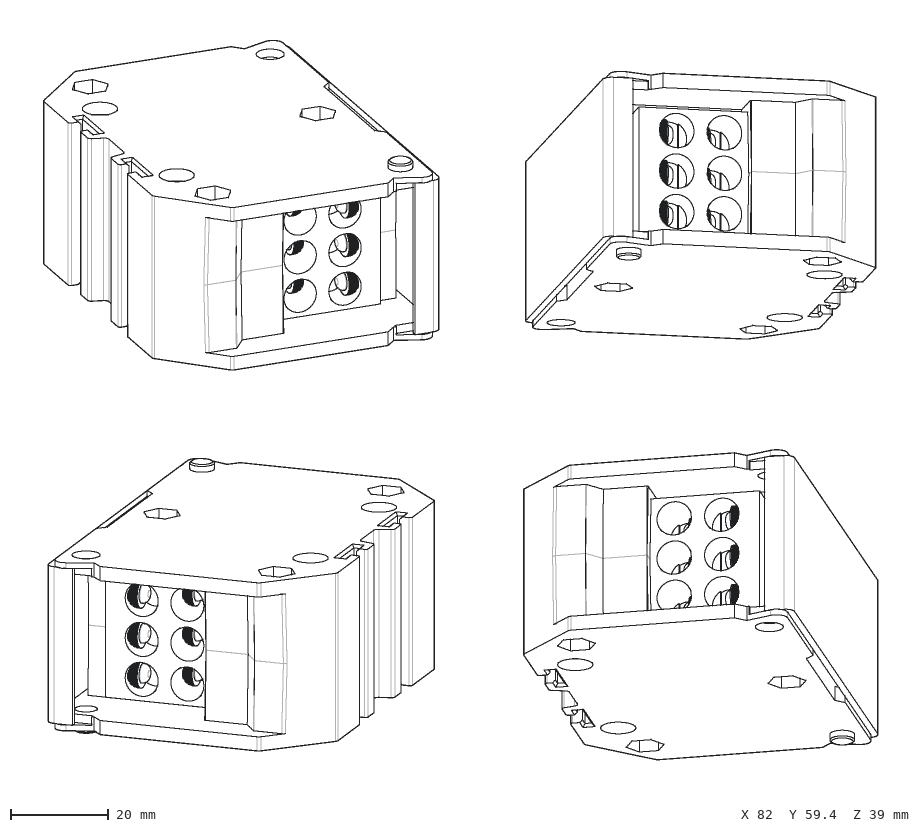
import cadquery as cq
import math

WIDTH = 82.0
HALF_WIDTH = WIDTH / 2
HALF_HEIGHT = 17.95
COVER_TOP = 59.4
SIDE_WALL = 3.0
WALL_INNER_Z = HALF_HEIGHT - SIDE_WALL
CORNER_CUT = 12.5
CORNER_ROUND = 1.0

EAR_RADIUS = 2.3
EAR_CENTER_X = HALF_WIDTH - EAR_RADIUS
EAR_CENTER_Y = 55.6
EAR_TOP = EAR_CENTER_Y + EAR_RADIUS
EAR_TANGENT_ANGLE = math.radians(20)
NOTCH_X = 38.9
NOTCH_Y = 49.4
SHOULDER_Y = 47.2
WINDOW_FLOOR = 56.1
WINDOW_HALF_FLOOR = 13.2
WINDOW_HALF_MOUTH = 14.9

COVER_WALL = 1.5
COVER_HALF_WIDTH = 40.5
COVER_HALF_HEIGHT = 16.7
COVER_SKIRT_Y = 53.5
COVER_INNER_X = COVER_HALF_WIDTH - COVER_WALL
COVER_OUTER_ROUND = 1.8
COVER_INNER_ROUND = 0.7
COVER_SKIRT_ROUND = 0.4
RELIEF_Y = 49.85
RELIEF_X = COVER_INNER_X - COVER_INNER_ROUND

LIP_Y = 0.3
CHANNEL_TOP = 4.1
CHANNEL_HALF_TOP = 4.6
CHANNEL_HALF_MOUTH = 5.6
CHANNEL_TOP_ROUND = 1.1
CHANNEL_LIP_ROUND = 0.8
SLOT_LIP_ROUND = 0.6
SLOT_X = 12.7
SLOT_WIDTH = 9.35
SLOT_FLOOR = 2.6
SLOT_TOP = 4.0
SLOT_FLARE_X = 0.7
SLOT_FLARE_Y = 0.6
SLOT_FLARE_DEPTH = 0.6
MOUTH_OUTER_X = 15.0
MOUTH_INNER_X = 10.2

DRAFT = 1.0
CORE_X = 24.2
STEP_X = 33.05
STEP_TOP = 27.1
STEP_BOTTOM = 17.8
SILL_X = 36.8
SILL_TOP = 15.0
SILL_ROUND = 1.0
BLOCK_X = 30.3
BLOCK_TOP = 50.1
BLOCK_BOTTOM = 26.65
BLOCK_HALF_HEIGHT = 13.1

WIRE_HOLE_RADIUS = 3.6
UPPER_HOLES_Y = 42.15
LOWER_HOLES_Y = 32.15
UPPER_SCREW_DEPTH = 4.4
LOWER_SCREW_DEPTH = 9.8
WIRE_HOLE_PITCH_Z = 8.5
HOLE_BEYOND_SCREW = 3.8
SHELF_LENGTH = 0.8
SHELF_OFFSET = 1.9
SCREW_RADIUS = 3.1
THREAD_DEPTH = 0.25
THREAD_PITCH = 0.5
SCREW_SHOULDER = 1.5
SCREW_TIP_RADIUS = 2.05
SCREW_TIP_LENGTH = 1.5
SCREW_TIP_ROUND = 1.3

BOLT_CENTERS = ((0, 49.0), (-32.0, 12.0), (32.0, 12.0))
NUT_FLATS = 6.9
NUT_DEPTH = 8.2
BOLT_RADIUS_OUTER = 2.6
BOLT_RADIUS_INNER = 2.1

EAR_PIN_X = 33.95
EAR_PIN_Y = 53.0
PIN_RADIUS = 2.55
PIN_HEIGHT = 1.55
PIN_CHAMFER = 0.3
PIN_BORE_RADIUS = 2.3
EAR_RECESS_RADIUS = 2.9
BASE_RECESS_X = 20.0
BASE_RECESS_Y = 9.0
BASE_RECESS_RADIUS = 3.6
EAR_RECESS_DEPTH = 1.6
BASE_RECESS_DEPTH = 2.55
PIN_BORE_DEPTH = 1.6
RECESS_FLOOR_INSET = 0.3

MARGIN = 8.2
EDGE_REACH = 0.1
DRAFTED_EDGE_REACH = 0.5


def box(x0, x1, y0, y1, z0, z1):
    return cq.Workplane("XY").box(x1 - x0, y1 - y0, z1 - z0, centered=False).translate((x0, y0, z0))


def taper_hole(x, y, z_top, top_radius, z_bottom, bottom_radius):
    depth = z_top - z_bottom
    cone = cq.Solid.makeCone(top_radius, bottom_radius, depth, cq.Vector(x, y, z_top), cq.Vector(0, 0, -1))
    return cq.Workplane(cone)


def round_upright_edges(body, x, y, reach, radius):
    """Fillet the upright edges within reach of (x, y) and of its mirror image at -x."""
    for side in (-1, 1):
        near = cq.selectors.BoxSelector(
            (side * x - reach, y - reach, 0), (side * x + reach, y + reach, HALF_HEIGHT)
        )
        body = body.edges(near).edges("not #Z").fillet(radius)
    return body


def shell_blank():
    """Solid prism of the housing outline, from the mid plane to the outer face."""
    tangent_x = EAR_CENTER_X + EAR_RADIUS * math.cos(EAR_TANGENT_ANGLE)
    tangent_y = EAR_CENTER_Y - EAR_RADIUS * math.sin(EAR_TANGENT_ANGLE)
    diagonal = EAR_RADIUS * math.sqrt(0.5)
    right_side = (
        cq.Workplane("XY")
        .lineTo(HALF_WIDTH - CORNER_CUT, 0)
        .lineTo(HALF_WIDTH, CORNER_CUT)
        .lineTo(HALF_WIDTH, SHOULDER_Y)
        .lineTo(NOTCH_X, NOTCH_Y)
        .lineTo(tangent_x, tangent_y)
        .threePointArc((EAR_CENTER_X + diagonal, EAR_CENTER_Y + diagonal), (EAR_CENTER_X, EAR_TOP))
        .lineTo(WINDOW_HALF_MOUTH, EAR_TOP)
        .lineTo(WINDOW_HALF_FLOOR, WINDOW_FLOOR)
        .lineTo(0, WINDOW_FLOOR)
        .close()
        .extrude(HALF_HEIGHT)
    )
    blank = right_side.union(right_side.mirror("YZ")).clean()
    blank = round_upright_edges(blank, HALF_WIDTH - CORNER_CUT, 0, EDGE_REACH, CORNER_ROUND)
    return round_upright_edges(blank, HALF_WIDTH, CORNER_CUT, EDGE_REACH, CORNER_ROUND)


def rail_channel():
    channel = (
        cq.Workplane("XY")
        .moveTo(-CHANNEL_HALF_MOUTH, LIP_Y)
        .lineTo(-CHANNEL_HALF_TOP, CHANNEL_TOP)
        .lineTo(CHANNEL_HALF_TOP, CHANNEL_TOP)
        .lineTo(CHANNEL_HALF_MOUTH, LIP_Y)
        .close()
        .extrude(HALF_HEIGHT)
        .edges("|Z and >Y")
        .fillet(CHANNEL_TOP_ROUND)
    )
    return channel.union(box(-MOUTH_INNER_X, MOUTH_INNER_X, -MARGIN, LIP_Y, 0, HALF_HEIGHT))


def t_slot(side):
    mouth_ends = sorted((side * MOUTH_OUTER_X, side * MOUTH_INNER_X))
    mouth = box(*mouth_ends, -MARGIN, SLOT_TOP, 0, HALF_HEIGHT)
    height = SLOT_TOP - SLOT_FLOOR
    center = (side * SLOT_X, (SLOT_TOP + SLOT_FLOOR) / 2)
    head = cq.Workplane("XY").center(*center).rect(SLOT_WIDTH, height).extrude(HALF_HEIGHT)
    flare = (
        cq.Workplane("XY", origin=(0, 0, HALF_HEIGHT - SLOT_FLARE_DEPTH))
        .center(*center)
        .rect(SLOT_WIDTH, height)
        .workplane(offset=SLOT_FLARE_DEPTH)
        .rect(SLOT_WIDTH + 2 * SLOT_FLARE_X, height + 2 * SLOT_FLARE_Y)
        .loft()
    )
    return mouth.union(head).union(flare)


def round_lips(half):
    """Round the corners of the slots and the channel where they open onto the base."""
    corners = (
        (MOUTH_OUTER_X, 0, SLOT_LIP_ROUND),
        (MOUTH_INNER_X, LIP_Y, SLOT_LIP_ROUND),
        (CHANNEL_HALF_MOUTH, LIP_Y, CHANNEL_LIP_ROUND),
    )
    for x, y, radius in corners:
        half = round_upright_edges(half, x, y, EDGE_REACH, radius)
    return half


def wiring_recess():
    """Open space at the -X end; its walls draft outward from the mid plane to the side wall."""
    outside = HALF_WIDTH + MARGIN
    return (
        cq.Workplane("XY")
        .polyline([
            (-outside, COVER_TOP),
            (-CORE_X, COVER_TOP),
            (-CORE_X, STEP_TOP),
            (-STEP_X, STEP_TOP),
            (-STEP_X, STEP_BOTTOM),
            (-SILL_X, SILL_TOP),
            (-SILL_X, 0),
            (-outside, 0),
        ])
        .close()
        .extrude(WALL_INNER_Z, taper=DRAFT)
    )


def clamping_screw(x, y, z):
    """Screw along Y with its shoulder at y, ring grooves for the thread and a rounded tip below."""
    def disc(start_y, radius, length):
        return cq.Workplane("XZ", origin=(x, start_y, z)).circle(radius).extrude(-length)

    screw = disc(y, SCREW_RADIUS - THREAD_DEPTH, WIRE_HOLE_RADIUS)
    for turn in range(math.ceil(WIRE_HOLE_RADIUS / THREAD_PITCH)):
        screw = screw.union(disc(y + turn * THREAD_PITCH, SCREW_RADIUS, THREAD_PITCH / 2))
    tip = disc(y - SCREW_TIP_LENGTH, SCREW_TIP_RADIUS, SCREW_TIP_LENGTH)
    return screw.union(tip.faces("<Y").edges().fillet(SCREW_TIP_ROUND))


def wire_hole(y, z, screw_depth):
    """Blind hole along X with a shelf on its -Y side, less the screw left standing in it."""
    depth = screw_depth + HOLE_BEYOND_SCREW
    bore = cq.Workplane("YZ", origin=(-BLOCK_X, y, z)).circle(WIRE_HOLE_RADIUS).extrude(depth)
    hole_end = depth - BLOCK_X
    shelf = box(
        hole_end - SHELF_LENGTH, hole_end,
        y - WIRE_HOLE_RADIUS, y - SHELF_OFFSET,
        z - WIRE_HOLE_RADIUS, z + WIRE_HOLE_RADIUS,
    )
    return bore.cut(shelf).cut(clamping_screw(screw_depth - BLOCK_X, y + SCREW_SHOULDER, z))


def bolt_hole(x, y):
    """Upper half of a bolt hole: a hexagonal nut pocket above a bore that narrows to the mid plane."""
    nut_floor = HALF_HEIGHT - NUT_DEPTH
    nut = (
        cq.Workplane("XY", origin=(x, y, nut_floor))
        .polygon(6, NUT_FLATS, circumscribed=True)
        .extrude(NUT_DEPTH)
    )
    return nut.union(taper_hole(x, y, nut_floor, BOLT_RADIUS_OUTER, 0, BOLT_RADIUS_INNER))


def half_turn(shape):
    return shape.rotate((0, 0, 0), (0, 1, 0), 180)


def cut_wiring_recesses(half):
    """Open both ends, then round the edge where each recess breaks out through the sloping corner."""
    recess = wiring_recess()
    half = half.cut(recess).cut(recess.mirror("YZ"))
    sill_y = CORNER_CUT - (HALF_WIDTH - SILL_X)
    return round_upright_edges(half, SILL_X, sill_y, DRAFTED_EDGE_REACH, SILL_ROUND)


def cut_cover_space(half):
    """Clear the space under the cover and thin the ears where the cover slides over them."""
    half = half.cut(box(-HALF_WIDTH, HALF_WIDTH, WINDOW_FLOOR, COVER_TOP, 0, WALL_INNER_Z))
    for x0, x1 in ((-HALF_WIDTH, -RELIEF_X), (RELIEF_X, HALF_WIDTH)):
        half = half.cut(box(x0, x1, RELIEF_Y, COVER_TOP, 0, COVER_HALF_HEIGHT))
    return half


def cut_stacking_recesses(half):
    recesses = (
        (-EAR_PIN_X, EAR_PIN_Y, EAR_RECESS_RADIUS, EAR_RECESS_DEPTH),
        (-BASE_RECESS_X, BASE_RECESS_Y, BASE_RECESS_RADIUS, BASE_RECESS_DEPTH),
        (BASE_RECESS_X, BASE_RECESS_Y, BASE_RECESS_RADIUS, BASE_RECESS_DEPTH),
    )
    for x, y, radius, depth in recesses:
        floor_z = HALF_HEIGHT - depth
        half = half.cut(taper_hole(x, y, HALF_HEIGHT, radius, floor_z, radius - RECESS_FLOOR_INSET))
    return half


def add_stacking_pin(half):
    """Pin on one ear, with a blind bore behind it in the inner face."""
    pin = (
        cq.Workplane("XY", origin=(EAR_PIN_X, EAR_PIN_Y, HALF_HEIGHT))
        .circle(PIN_RADIUS)
        .extrude(PIN_HEIGHT)
        .faces(">Z")
        .chamfer(PIN_CHAMFER)
    )
    bore = (
        cq.Workplane("XY", origin=(EAR_PIN_X, EAR_PIN_Y, WALL_INNER_Z))
        .circle(PIN_BORE_RADIUS)
        .extrude(PIN_BORE_DEPTH)
    )
    return half.union(pin).cut(bore)


def housing_half():
    """Upper half of the housing, from the mid plane up."""
    half = shell_blank().cut(rail_channel())
    for side in (-1, 1):
        half = half.cut(t_slot(side))
    half = round_lips(half)
    half = cut_wiring_recesses(half)
    half = cut_cover_space(half)
    for x, y in BOLT_CENTERS:
        half = half.cut(bolt_hole(x, y))
    half = cut_stacking_recesses(half)
    return add_stacking_pin(half)


def make_cover():
    outer = box(
        -COVER_HALF_WIDTH, COVER_HALF_WIDTH, COVER_SKIRT_Y, COVER_TOP, -COVER_HALF_HEIGHT, COVER_HALF_HEIGHT
    ).edges("|Z and >Y").fillet(COVER_OUTER_ROUND)
    inner = box(
        -COVER_INNER_X, COVER_INNER_X, COVER_SKIRT_Y, EAR_TOP, -COVER_HALF_HEIGHT, COVER_HALF_HEIGHT
    ).edges("|Z and >Y").fillet(COVER_INNER_ROUND)
    cover = outer.cut(inner)
    for x in (-COVER_INNER_X, COVER_INNER_X):
        edge = cq.selectors.NearestToPointSelector((x, COVER_SKIRT_Y, 0))
        cover = cover.edges("|Z and <Y").edges(edge).fillet(COVER_SKIRT_ROUND)
    return cover


def block_envelope():
    return box(-BLOCK_X, BLOCK_X, BLOCK_BOTTOM, BLOCK_TOP, -BLOCK_HALF_HEIGHT, BLOCK_HALF_HEIGHT)


def make_terminal_block():
    """Bar that runs through the housing and shows a face of wire holes at each end."""
    block = block_envelope()
    for y, screw_depth in ((UPPER_HOLES_Y, UPPER_SCREW_DEPTH), (LOWER_HOLES_Y, LOWER_SCREW_DEPTH)):
        for row in (-1, 0, 1):
            hole = wire_hole(y, row * WIRE_HOLE_PITCH_Z, screw_depth)
            block = block.cut(hole).cut(hole.mirror("YZ"))
    hole = bolt_hole(*BOLT_CENTERS[0])
    return block.cut(hole).cut(half_turn(hole))


def make_housing():
    half = housing_half()
    return half.union(half_turn(half)).clean().cut(block_envelope())


housing = make_housing()
terminal_block = make_terminal_block()
cover = make_cover()

result = cq.Compound.makeCompound([housing.val(), terminal_block.val(), cover.val()])